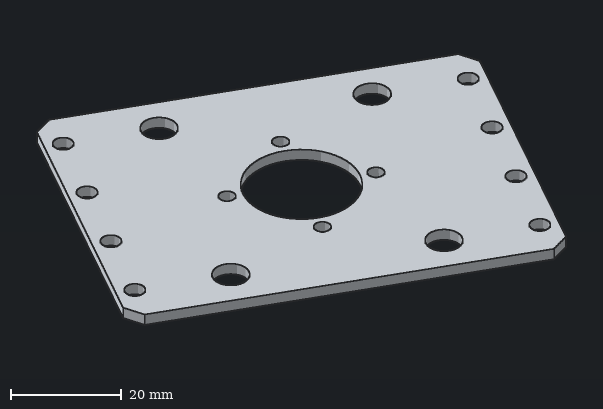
import cadquery as cq

width = 64.0
length = 83.2
thickness = 2.3
corner_chamfer = 3.2

bore_diameter = 22.0
screw_diameter = 3.2
screw_circle_radius = 14.0
screw_count = 4

large_diameter = 6.8
large_spacing_x = 48.0
large_spacing_y = 40.0

edge_diameter = 3.8
edge_holes_per_row = 4
edge_pitch = large_spacing_x / (edge_holes_per_row - 1)
edge_row_spacing = 76.05


def make_plate():
    """Flat rectangular plate with chamfered corners."""
    plate = cq.Workplane("XY").box(width, length, thickness)
    return plate.edges("|Z").chamfer(corner_chamfer)


def drill_center(plate):
    """Cut the bore and its ring of screw holes."""
    plate = plate.faces(">Z").workplane().hole(bore_diameter)
    ring = plate.faces(">Z").workplane().polarArray(screw_circle_radius, 0, 360, screw_count)
    return ring.hole(screw_diameter)


def drill_grid(plate, pitch_x, pitch_y, columns, rows, diameter):
    """Cut a centred rectangular grid of through holes."""
    grid = plate.faces(">Z").workplane().rarray(pitch_x, pitch_y, columns, rows)
    return grid.hole(diameter)


result = make_plate()
result = drill_center(result)
result = drill_grid(result, large_spacing_x, large_spacing_y, 2, 2, large_diameter)
result = drill_grid(result, edge_pitch, edge_row_spacing, edge_holes_per_row, 2, edge_diameter)